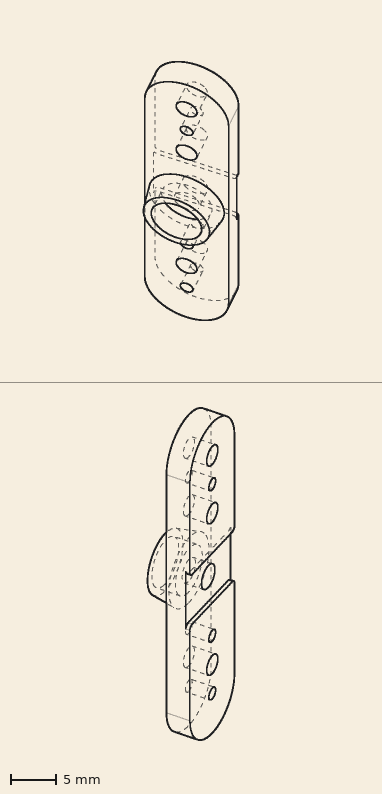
import cadquery as cq

bar_length = 43.0
bar_width = 10.0
bar_thickness = 3.0

hub_height = 3.0
hub_base_diameter = 9.0
hub_tip_diameter = 7.9
socket_diameter = 6.0
screw_hole_diameter = 3.0

large_hole_diameter = 2.5
large_hole_heights = (17.0, 9.0, -12.0)
small_hole_diameter = 1.5
small_hole_heights = (13.0, -8.0, -16.0)

recess_depth = 0.5
recess_height = 6.9
recess_mouth_radius = 0.5

front_y = 0.0
back_y = front_y + bar_thickness
hub_tip_y = front_y - hub_height


def make_cylinder_along_y(diameter, start_y, end_y, height=0.0):
    """Cylinder on the bar's centre line, running from start_y to end_y."""
    start = cq.Vector(0, start_y, height)
    return cq.Workplane(cq.Solid.makeCylinder(diameter / 2, end_y - start_y, start, cq.Vector(0, 1, 0)))


def make_bar():
    return (
        cq.Workplane("XZ", origin=(0, back_y, 0))
        .slot2D(bar_length, bar_width, 90)
        .extrude(bar_thickness)
    )


def make_hub():
    cone = cq.Solid.makeCone(
        hub_base_diameter / 2,
        hub_tip_diameter / 2,
        hub_height,
        cq.Vector(0, front_y, 0),
        cq.Vector(0, -1, 0),
    )
    return cq.Workplane(cone)


def cut_recess(bar):
    floor_y = back_y - recess_depth
    recess = (
        cq.Workplane("XZ", origin=(0, back_y, 0))
        .rect(bar_width, recess_height)
        .extrude(recess_depth)
    )
    mouth_corners = cq.selectors.BoxSelector(
        (-bar_width, floor_y, -recess_height),
        (bar_width, back_y, recess_height),
    )
    return bar.cut(recess).edges("|Y").edges(mouth_corners).fillet(recess_mouth_radius)


result = cut_recess(make_bar()).union(make_hub())
result = result.cut(make_cylinder_along_y(socket_diameter, hub_tip_y, front_y))
result = result.cut(make_cylinder_along_y(screw_hole_diameter, hub_tip_y, back_y))

for hole_diameter, hole_heights in (
    (large_hole_diameter, large_hole_heights),
    (small_hole_diameter, small_hole_heights),
):
    for hole_height in hole_heights:
        result = result.cut(make_cylinder_along_y(hole_diameter, front_y, back_y, hole_height))